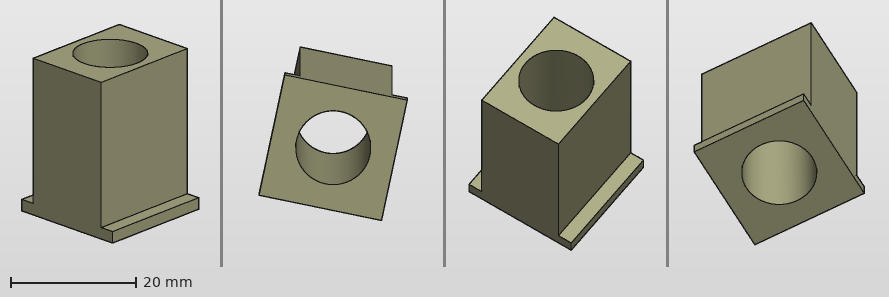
import cadquery as cq

total_height = 27.0
base_side = 20.0
base_thickness = 2.0

block_width = 15.0
block_height = total_height - base_thickness

bore_diameter = 12.0

base = cq.Workplane("XY").box(base_side, base_side, base_thickness, centered=(True, True, False))

block = (
    cq.Workplane("XY")
    .workplane(offset=base_thickness)
    .box(block_width, base_side, block_height, centered=(True, True, False))
)

bore = cq.Workplane("XY").circle(bore_diameter / 2).extrude(total_height)

result = base.union(block).cut(bore)